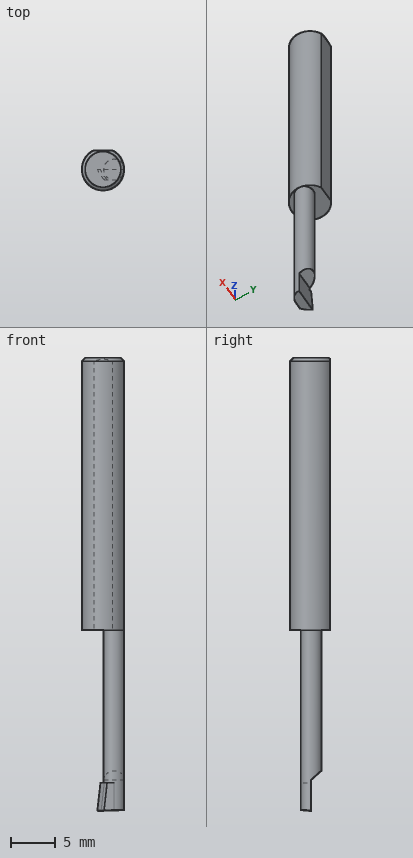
import cadquery as cq
import math

sharp_length = 50.795
shank_diameter = 4.76
shank_length = 30.5
shank_flat_y = 2.13
shank_chamfer = 0.38

neck_diameter = 2.33

rake_face_y = 0.0
relief_start_z = 3.5
relief_angle = 42.0

tooth_height = 3.2
edge_x_tip = -0.65
edge_x_root = -0.30
relief_curve_radius = 2.5
relief_corner_offset = 0.41
relief_corner_y = -0.75
flank_corner_offset = 0.76
nose_radius = 0.15

end_angle_along_x = 2.0
end_angle_along_y = 4.0

shank_radius = shank_diameter / 2
neck_radius = neck_diameter / 2
neck_x = shank_radius - neck_radius
shank_base_z = sharp_length - shank_length
cutter_size = 4 * shank_diameter


def make_shank():
    """Round shank with a chamfered top end and a flat along its +Y side."""
    shank = (
        cq.Workplane("XY", origin=(0, 0, shank_base_z))
        .circle(shank_radius)
        .extrude(shank_length)
        .faces(">Z")
        .chamfer(shank_chamfer)
    )
    flat_cutter = cq.Workplane("XY", origin=(0, shank_flat_y, shank_base_z)).box(
        cutter_size, cutter_size, shank_length, centered=(True, False, False)
    )
    return shank.cut(flat_cutter)


def make_neck():
    """Neck cut back to a half-round at the head, running out on a ramp."""
    neck = cq.Workplane("XY", origin=(neck_x, 0, 0)).circle(neck_radius).extrude(shank_base_z)
    ramp_run = neck_diameter
    ramp_rise = ramp_run * math.tan(math.radians(relief_angle))
    relief_cutter = (
        cq.Workplane("YZ")
        .moveTo(rake_face_y, 0)
        .lineTo(rake_face_y, relief_start_z)
        .lineTo(rake_face_y + ramp_run, relief_start_z + ramp_rise)
        .lineTo(rake_face_y + ramp_run, 0)
        .close()
        .extrude(shank_radius, both=True)
    )
    return neck.cut(relief_cutter)


def tooth_section(edge_x, z):
    """Tooth section: curved relief, flat flank, then a flat tangent to the neck."""
    relief_corner_x = edge_x + relief_corner_offset
    chord = math.hypot(relief_corner_offset, relief_corner_y)
    bulge = relief_curve_radius - math.sqrt(relief_curve_radius**2 - (chord / 2) ** 2)
    return (
        cq.Workplane("XY", origin=(0, 0, z))
        .moveTo(edge_x, rake_face_y)
        .sagittaArc((relief_corner_x, relief_corner_y), -bulge)
        .lineTo(edge_x + flank_corner_offset, -neck_radius)
        .lineTo(neck_x, -neck_radius)
        .lineTo(neck_x, rake_face_y)
        .close()
        .val()
    )


def make_tooth():
    """Tooth lofted between its sections, with an angled end and a rounded nose."""
    sections = [tooth_section(edge_x_tip, 0), tooth_section(edge_x_root, tooth_height)]
    tooth = cq.Workplane(cq.Solid.makeLoft(sections, True)).cut(make_end_cutter())
    nose_edge = cq.selectors.NearestToPointSelector((edge_x_tip, relief_corner_y / 2, 0))
    return tooth.edges(nose_edge).fillet(nose_radius)


def make_end_cutter():
    """Block whose top face is the tilted end face through the cutting tip."""
    tip = (edge_x_tip, rake_face_y, 0)
    return (
        cq.Workplane("XY")
        .box(cutter_size, cutter_size, cutter_size, centered=(True, True, False))
        .translate((0, 0, -cutter_size))
        .rotate((0, 0, 0), (1, 0, 0), -end_angle_along_y)
        .rotate((0, 0, 0), (0, 1, 0), -end_angle_along_x)
        .translate(tip)
    )


head = make_neck().cut(make_end_cutter()).union(make_tooth())
result = make_shank().union(head)